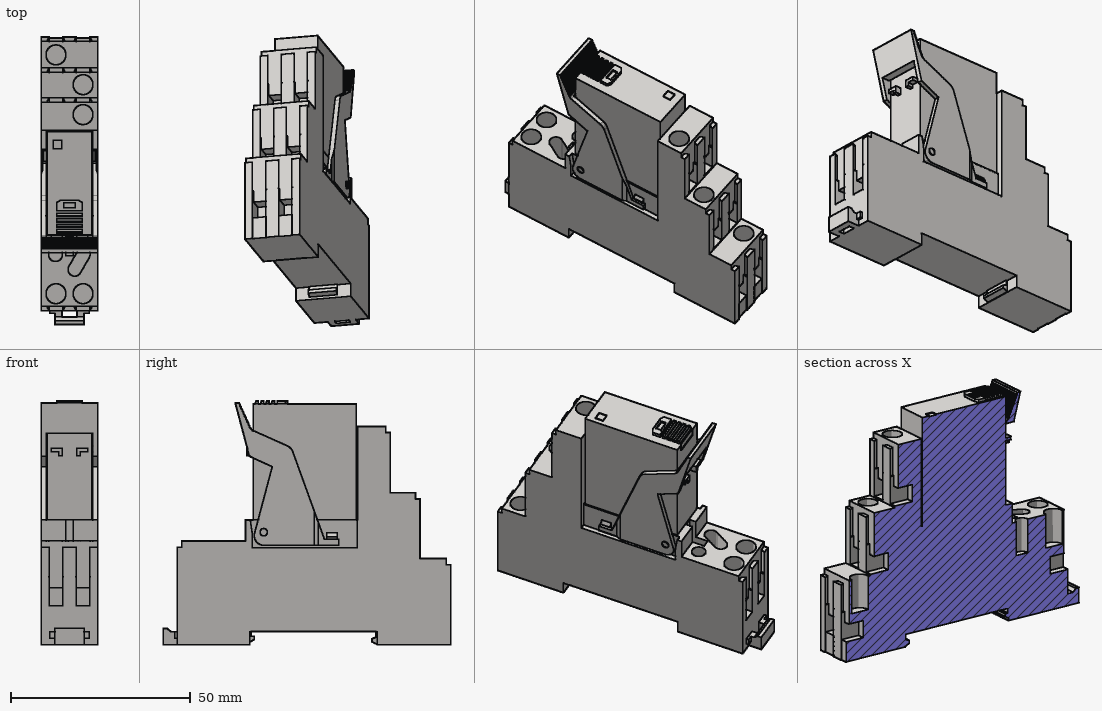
import cadquery as cq
import math


width = 15.8
half_width = width / 2
length = 76.28
plateau_top = 28.95
wall_front = 19.04
wall_back = 20.98
wall_back_top = 20.4
wall_top = 34.8
tower_front = 50.24
tower_top = 60.9
lower_terrace_y = 67.7
middle_terrace_y = 59.4
lower_terrace_top = 24.1
middle_terrace_top = 42.4
ledge_run = 1.25
ledge_drop = 1.7
seat_floor = 27.0
seat_half = 6.5

rail_front = 20.26
rail_back = 55.8
rail_height = 3.71
clip_width = 8.1
overall_depth = 80.15
clip_front = length - overall_depth
clip_top = 4.62
clip_window_width = 4.1
clip_window_depth = 1.7
clip_ramp_end = 2.74
ear_span = 11.1
ear_reach = 0.7
ear_bottom = 1.85
hook_web = 0.4
rear_hook_reach = 1.5
front_hook_reach = 1.3
rear_hook_heights = (0.1, 0.85, 1.7, 2.2)
front_hook_heights = (0.75, 1.5, 2.45, 2.45)

terminal_x = 3.77
screw_radius = 2.77
front_screw_y = 4.77
lower_screw_y = 71.3
middle_screw_y = 63.0
tower_screw_y = 54.65
hole_depth = 10.0
slot_width = 3.85
slot_flare = 0.6
slot_length = 16.3
flare_length = 8.25
entry_height = 4.95
entry_depth = 6.0
rear_channel_depth = 0.25
small_hole = (-3.9, 15.7)
small_hole_radius = 1.95
oblong_start = (1.45, 11.5)
oblong_travel = 4.9
oblong_radius = 1.85
oblong_angle = 60.0
channel_width = 2.2
channel_front = 15.4
channel_depth = 5.0

relay_front = 21.23
relay_back = 49.94
relay_half = 6.13
relay_top = 67.15
overall_height = 68.0
window_size = 2.35
window_center = (-3.38, 46.35)
window_depth = 0.2

button_half = 3.55
pad_back = 30.8
pad_front = 27.9
pad_corner = (1.1, 0.6)
pad_recess = (3.3, 1.5, 0.5)
pad_recess_y = 29.4
ridge_count = 4
ridge_first = 27.17
ridge_pitch = 1.5
ridge_crest = 0.65
ridge_slope = 0.3
button_notch_height = 2.2
button_notch_depth = 0.15

peg_reach = 1.77
peg_outer = 5.06
peg_inner = 2.0
peg_top = 54.8
peg_bottom = 52.75
peg_bar = 1.05

arm_thin = 7.4
arm_ramp_back = 39.4
arm_ramp_front = 38.2
handle_bottom = 58.9
handle_back = 21.0
handle_crease = (20.74, 59.92)
handle_tip = (17.33, 67.45)
tip_thickness = 1.15
handle_chin = (20.13, 52.55)
arm_crook = (26.52, 49.64)
crease_radius = 1.0
grip_groove_count = 9
grip_groove_width = 0.4
grip_groove_depth = 0.15
elbow = (31.82, 54.96)
elbow_radius = 2.8
pivot_y = 24.15
pivot_z = 31.4
pivot_radius = 1.03
pivot_depth = 0.2
arm_end_radius = 2.7
foot_back = 45.06
foot_step = 41.06
foot_bottom = 27.74
foot_top = 29.44
arm_toe = (20.7, foot_bottom)
nub_front = 41.65
nub_back = 44.6
nub_crest_x = 7.2
nub_crest_z = 30.1
nub_top = 31.25


def box(x0, x1, y0, y1, z0, z1):
    """Box between two corners."""
    return cq.Workplane("XY").box(x1 - x0, y1 - y0, z1 - z0, centered=False).translate((x0, y0, z0))


def side_plate(points, x0, x1):
    """Extrude a (y, z) outline from x0 to x1."""
    return cq.Workplane("YZ").workplane(offset=x0).polyline(points).close().extrude(x1 - x0)


def mirrored(shape):
    """The shape together with its mirror image in the middle plane."""
    return shape.union(shape.mirror("YZ"))


def make_socket_body():
    """Stepped body with a ledge along every terrace, the rail recess and the lever pockets."""
    outline = [
        (0, 0),
        (rail_front, 0),
        (rail_front, rail_height),
        (rail_back, rail_height),
        (rail_back, 0),
        (length, 0),
        (length, lower_terrace_top - ledge_drop),
        (length - ledge_run, lower_terrace_top - ledge_drop),
        (length - ledge_run, lower_terrace_top),
        (lower_terrace_y, lower_terrace_top),
        (lower_terrace_y, middle_terrace_top - ledge_drop),
        (lower_terrace_y - ledge_run, middle_terrace_top - ledge_drop),
        (lower_terrace_y - ledge_run, middle_terrace_top),
        (middle_terrace_y, middle_terrace_top),
        (middle_terrace_y, tower_top - ledge_drop),
        (middle_terrace_y - ledge_run, tower_top - ledge_drop),
        (middle_terrace_y - ledge_run, tower_top),
        (tower_front, tower_top),
        (tower_front, wall_top),
        (wall_front, wall_top),
        (wall_front, plateau_top),
        (ledge_run, plateau_top),
        (ledge_run, plateau_top - ledge_drop),
        (0, plateau_top - ledge_drop),
    ]
    pocket_outline = [
        (wall_back, seat_floor),
        (tower_front, seat_floor),
        (tower_front, wall_top),
        (wall_back_top, wall_top),
        (wall_back, (seat_floor + wall_top) / 2),
    ]
    body = side_plate(outline, -half_width, half_width)
    return body.cut(mirrored(side_plate(pocket_outline, seat_half, half_width)))


def terminal_slot(x, face_y, top, inward):
    """Wire slot in a face at face_y; its upper part flares inward and its foot opens into a wire entry."""
    half = slot_width / 2
    inner_y = face_y + inward * ledge_run
    bottom = top - slot_length
    flare = (
        cq.Workplane("XY").workplane(offset=top - flare_length)
        .polyline([
            (x - half, face_y),
            (x + half, face_y),
            (x + half + slot_flare, inner_y),
            (x - half - slot_flare, inner_y),
        ])
        .close().extrude(flare_length)
    )
    straight_y = sorted((face_y, inner_y))
    entry_y = sorted((face_y, face_y + inward * entry_depth))
    straight = box(x - half, x + half, *straight_y, bottom, top)
    entry = box(x - half, x + half, *entry_y, bottom, bottom + entry_height)
    return flare.union(straight).union(entry)


def cut_terminals(body):
    """Wire slots in every terrace face and one screw hole per terminal."""
    faces = [
        (0, plateau_top, 1),
        (length, lower_terrace_top, -1),
        (lower_terrace_y, middle_terrace_top, -1),
        (middle_terrace_y, tower_top, -1),
    ]
    half = slot_width / 2
    rear_channel_top = lower_terrace_top - ledge_drop - slot_length
    for x in (-terminal_x, terminal_x):
        for face_y, terrace_top, inward in faces:
            body = body.cut(terminal_slot(x, face_y, terrace_top - ledge_drop, inward))
        body = body.cut(box(x - half, x + half, length - rear_channel_depth, length, 0, rear_channel_top))

    screws = [
        (-terminal_x, front_screw_y, plateau_top),
        (terminal_x, front_screw_y, plateau_top),
        (-terminal_x, lower_screw_y, lower_terrace_top),
        (terminal_x, middle_screw_y, middle_terrace_top),
        (terminal_x, tower_screw_y, tower_top),
    ]
    for x, y, top in screws:
        body = body.cut(round_hole(x, y, top, screw_radius))
    return body


def round_hole(x, y, top, radius):
    """Blind vertical hole opening at the height top."""
    return cq.Workplane("XY").workplane(offset=top).center(x, y).circle(radius).extrude(-hole_depth)


def cut_plateau_openings(body):
    """Small round hole, slanted oblong hole and the channel through the front wall."""
    body = body.cut(round_hole(*small_hole, plateau_top, small_hole_radius))
    angle = math.radians(oblong_angle)
    oblong_x = oblong_start[0] + oblong_travel / 2 * math.cos(angle)
    oblong_y = oblong_start[1] + oblong_travel / 2 * math.sin(angle)
    oblong = (
        cq.Workplane("XY").workplane(offset=plateau_top).center(oblong_x, oblong_y)
        .slot2D(oblong_travel + 2 * oblong_radius, 2 * oblong_radius, oblong_angle)
        .extrude(-hole_depth)
    )
    half = channel_width / 2
    channel = box(-half, half, channel_front, wall_back, plateau_top - channel_depth, wall_top)
    return body.cut(oblong).cut(channel)


def rail_hook(wall_y, inward, reach, heights):
    """Hook with a thin web, standing on a side wall of the rail recess."""
    root_bottom, nose_bottom, nose_top, root_top = heights
    web_y = wall_y + inward * hook_web
    nose_y = wall_y + inward * reach
    outline = [
        (wall_y, root_bottom),
        (wall_y, rail_height),
        (web_y, rail_height),
        (web_y, root_top),
        (nose_y, nose_top),
        (nose_y, nose_bottom),
    ]
    return side_plate(outline, -clip_width / 2, clip_width / 2)


def make_rail_clip():
    """Pull tab with a window and two ears in front, and the two hooks that grip the rail."""
    half = clip_width / 2
    tab_outline = [
        (0, 0),
        (clip_front, 0),
        (clip_front, clip_top),
        (-clip_ramp_end, clip_top),
        (-clip_window_depth, rail_height),
        (0, rail_height),
    ]
    window_half = clip_window_width / 2
    tab = side_plate(tab_outline, -half, half)
    tab = tab.cut(box(-window_half, window_half, -clip_window_depth, 0, 0, clip_top))
    ears = box(-ear_span / 2, ear_span / 2, -ear_reach, 0, ear_bottom, rail_height)
    ears = ears.cut(box(-half, half, -ear_reach, 0, ear_bottom, rail_height))

    clip = tab.union(ears)
    clip = clip.union(rail_hook(rail_back, -1, rear_hook_reach, rear_hook_heights))
    clip = clip.union(rail_hook(rail_front, 1, front_hook_reach, front_hook_heights))
    return clip


def make_button():
    """Ridged push button standing on the relay top."""
    corner_x, corner_y = pad_corner
    pad = (
        cq.Workplane("XY").workplane(offset=relay_top)
        .polyline([
            (-button_half, pad_front),
            (button_half, pad_front),
            (button_half, pad_back - corner_y),
            (button_half - corner_x, pad_back),
            (corner_x - button_half, pad_back),
            (-button_half, pad_back - corner_y),
        ])
        .close().extrude(overall_height - relay_top)
    )
    recess_x, recess_y, recess_depth = pad_recess
    pad = pad.cut(
        box(-recess_x / 2, recess_x / 2, pad_recess_y - recess_y / 2, pad_recess_y + recess_y / 2,
            overall_height - recess_depth, overall_height)
    )
    for index in range(ridge_count):
        back = ridge_first - index * ridge_pitch
        ridge = [
            (back, relay_top),
            (back, overall_height),
            (back - ridge_crest, overall_height),
            (back - ridge_crest - ridge_slope, relay_top),
        ]
        pad = pad.union(side_plate(ridge, -button_half, button_half))
    return pad


def make_pegs():
    """Two mirrored L-shaped pegs on the relay front."""
    front = relay_front - peg_reach
    bar = box(peg_inner, peg_outer, front, relay_front, peg_top - peg_bar, peg_top)
    leg = box(peg_inner, peg_inner + peg_bar, front, relay_front, peg_bottom, peg_top)
    return mirrored(bar.union(leg))


def make_relay():
    """Relay block with its indicator window, button and pegs."""
    relay = box(-relay_half, relay_half, relay_front, relay_back, wall_top, relay_top)
    window = (
        cq.Workplane("XY").workplane(offset=relay_top).center(*window_center)
        .rect(window_size, window_size).extrude(-window_depth)
    )
    notch = box(-button_half, button_half, relay_front, relay_front + button_notch_depth,
                relay_top - button_notch_height, relay_top)
    return relay.cut(window).cut(notch).union(make_button()).union(make_pegs())


def cut_grip_grooves(lever):
    """Fine grooves across the rear face of the handle, evenly spaced from crease to tip."""
    run = handle_tip[0] - handle_crease[0]
    rise = handle_tip[1] - handle_crease[1]
    tilt = math.degrees(math.atan2(rise, run))
    for index in range(grip_groove_count):
        fraction = (index + 1) / (grip_groove_count + 1)
        groove = (
            cq.Workplane("YZ").rect(grip_groove_width, 2 * grip_groove_depth)
            .extrude(half_width, both=True)
            .rotate((0, 0, 0), (1, 0, 0), tilt)
            .translate((0, handle_crease[0] + fraction * run, handle_crease[1] + fraction * rise))
        )
        lever = lever.cut(groove)
    return lever


def make_lever():
    """Forked lever: two side arms joined by a handle plate in front of the relay."""
    outline = [
        handle_tip,
        (handle_tip[0] - tip_thickness, handle_tip[1]),
        handle_chin,
        arm_crook,
        arm_toe,
        (foot_back, foot_bottom),
        (foot_back, foot_top),
        (foot_step, foot_top),
        elbow,
        handle_crease,
    ]
    full = side_plate(outline, -half_width, half_width)
    roundings = [(elbow, elbow_radius), (arm_toe, arm_end_radius), (handle_crease, crease_radius)]
    for corner, radius in roundings:
        full = full.edges(cq.selectors.NearestToPointSelector((0, *corner))).fillet(radius)
    full = cut_grip_grooves(full)

    full = full.cut(box(-seat_half, seat_half, 0, length, 0, handle_bottom))
    full = full.cut(box(-seat_half, seat_half, handle_back, length, 0, overall_height))

    thinning = (
        cq.Workplane("XY")
        .polyline([
            (arm_thin, foot_back),
            (arm_thin, arm_ramp_back),
            (half_width, arm_ramp_front),
            (half_width, foot_back),
        ])
        .close().extrude(overall_height)
    )
    pivot = (
        cq.Workplane("YZ").workplane(offset=half_width).center(pivot_y, pivot_z)
        .circle(pivot_radius).extrude(-pivot_depth)
    )
    return full.cut(mirrored(thinning)).cut(mirrored(pivot))


def make_nubs():
    """Wedge-shaped catch above each lever foot."""
    nub = (
        cq.Workplane("XZ").workplane(offset=-nub_back)
        .polyline([(seat_half, foot_top), (nub_crest_x, nub_crest_z), (seat_half, nub_top)])
        .close().extrude(nub_back - nub_front)
    )
    return mirrored(nub)


socket = cut_plateau_openings(cut_terminals(make_socket_body()))
result = socket.union(make_rail_clip()).union(make_relay()).union(make_lever()).union(make_nubs())